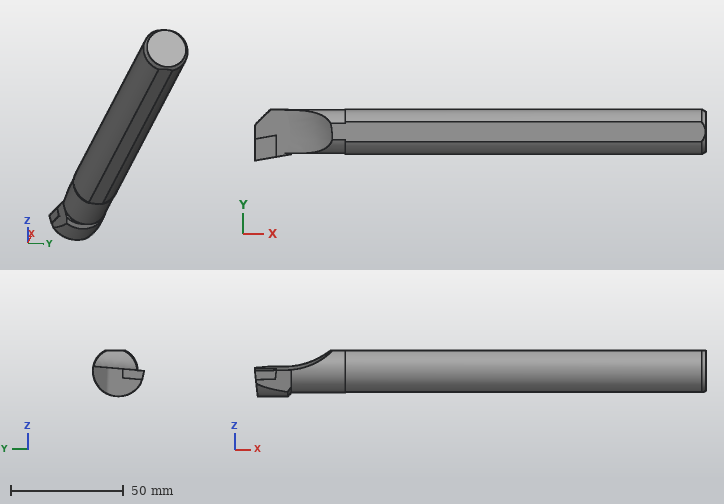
import cadquery as cq
import math

total_length = 200.0
tip_y = -12.85

shank_radius = 10.0
shank_top_flat = 9.0
shank_bottom_flat = -9.5
shank_start = 40.0
shank_end_chamfer_length = 2.0
shank_end_chamfer_depth = 1.2
neck_start = 13.0
neck_radius = 9.7
neck_centre_y = 0.1

head_length = 16.2
head_radius = 11.4
head_centre_y = shank_radius - head_radius
head_back_chamfer = 1.6
head_corner_chamfer = 7.0
head_corner_radius = 2.0
rake_angle = 5.0
side_angle = 10.0
front_relief_angle = 6.0
side_relief_angle = 9.0
head_front_direction = 180.0
head_corner_direction = 135.0

gullet_floor_radius = 24.0
gullet_wall_radius = 26.0
gullet_floor_end = 15.6

insert_circle = 9.525
insert_thickness = 3.97

margin = 20.0


def raked_plane(x, y):
    """Workplane on the raked top face, which passes through the cutting corner."""
    rake = math.radians(rake_angle)
    rise = (y - tip_y) * math.tan(rake)
    return cq.Plane(origin=(x, y, rise), xDir=(1, 0, 0), normal=(0, -math.sin(rake), math.cos(rake)))


def round_bar(start, end, radius, centre_y=0.0):
    """Cylinder along X between two x positions."""
    return cq.Workplane("YZ", origin=(start, centre_y, 0)).circle(radius).extrude(end - start)


def make_shank():
    """Round shank with an upper and a lower flat and a chamfered end."""
    shank = round_bar(shank_start, total_length, shank_radius)
    shank = shank.faces(">X").chamfer(shank_end_chamfer_length, shank_end_chamfer_depth)
    between_flats = (
        cq.Workplane("XY", origin=(0, 0, shank_bottom_flat))
        .rect(2 * total_length, 2 * margin)
        .extrude(shank_top_flat - shank_bottom_flat)
    )
    return shank.intersect(between_flats)


def make_neck():
    """Thinner round neck, slightly off the shank axis, that carries on the upper flat only."""
    neck = round_bar(neck_start, shank_start, neck_radius, neck_centre_y)
    above_flat = (
        cq.Workplane("XY", origin=(0, 0, shank_top_flat))
        .rect(2 * total_length, 2 * margin)
        .extrude(margin)
    )
    return neck.cut(above_flat)


def make_head_blank():
    """Eccentric round head, chamfered at the rear and cut off along the rake face."""
    head = round_bar(0, head_length, head_radius, head_centre_y).faces(">X").chamfer(head_back_chamfer)
    above_rake = (
        cq.Workplane(raked_plane(0, 0))
        .rect(2 * margin + 2 * head_length, 4 * head_radius)
        .extrude(2 * margin)
    )
    return head.cut(above_rake)


def make_gullet():
    """Flat floor on the rake face that sweeps up in a concave wall towards the shank."""
    floor_centre_x = gullet_floor_end - gullet_floor_radius
    plane = raked_plane(floor_centre_x, 0)
    section = cq.Plane(origin=plane.origin, xDir=(1, 0, 0), normal=plane.xDir.cross(plane.zDir))
    wall_end = gullet_floor_radius + gullet_wall_radius
    diagonal = gullet_wall_radius * math.sqrt(0.5)
    return (
        cq.Workplane(section)
        .lineTo(gullet_floor_radius, 0)
        .threePointArc(
            (gullet_floor_radius + diagonal, gullet_wall_radius - diagonal),
            (wall_end, gullet_wall_radius),
        )
        .lineTo(0, gullet_wall_radius)
        .close()
        .revolve(360, (0, 0), (0, 1))
    )


def make_relief_cut(x, y, outward_angle, relief_angle):
    """Block outside an edge of the rake face; its inner face leans under the edge by the relief angle.

    The edge passes through the rake face at (x, y). The outward angle is measured in the rake face from +X.
    """
    rake = raked_plane(x, y)
    turn = math.radians(outward_angle)
    lean = math.radians(relief_angle)
    outward = rake.xDir * math.cos(turn) + rake.yDir * math.sin(turn)
    edge = rake.yDir * math.cos(turn) - rake.xDir * math.sin(turn)
    normal = outward * math.cos(lean) - rake.zDir * math.sin(lean)
    face = cq.Plane(origin=rake.origin, xDir=edge, normal=normal)
    return cq.Workplane(face).rect(4 * margin, 4 * margin).extrude(margin)


def make_head():
    """Head with relieved front, side and corner faces; the corner is rounded into the front."""
    corner_y = shank_radius - head_corner_chamfer
    front_relief = make_relief_cut(0, tip_y, head_front_direction, front_relief_angle)
    side_relief = make_relief_cut(0, tip_y, side_angle - 90, side_relief_angle)
    corner_relief = make_relief_cut(0, corner_y, head_corner_direction, front_relief_angle)
    head = make_head_blank().cut(front_relief).cut(corner_relief)
    front_corner = cq.selectors.NearestToPointSelector((0, corner_y, -head_radius / 2))
    return head.edges(front_corner).fillet(head_corner_radius).cut(side_relief)


def make_insert():
    """Rhombic plate lying in the rake face with one corner on the cutting point."""
    turn = math.radians(side_angle)
    side = insert_circle / math.cos(turn)
    slant = insert_circle * math.tan(turn)
    corners = [(0, 0), (insert_circle, slant), (insert_circle, slant + side), (0, side)]
    return (
        cq.Workplane(raked_plane(0, tip_y))
        .polyline(corners)
        .close()
        .extrude(-insert_thickness, taper=front_relief_angle)
    )


insert = make_insert()

neck = make_neck().cut(make_gullet())
holder = make_head().union(neck).union(make_shank()).cut(insert)

result = cq.Compound.makeCompound([holder.val(), insert.val()])